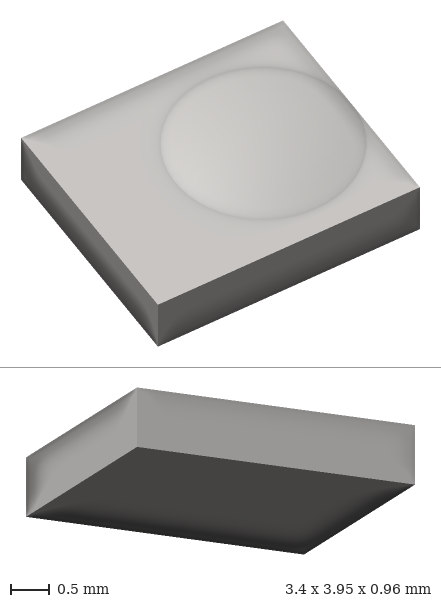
import cadquery as cq

width = 3.4
length = 3.95
total_height = 0.96
block_height = 0.8
dome_radius = 1.327

dome_height = total_height - block_height
dome_center_y = length / 2 - dome_radius
sphere_radius = (dome_radius**2 + dome_height**2) / (2 * dome_height)


def make_block():
    """Rectangular base standing on Z = 0, centred in X and Y."""
    return cq.Workplane("XY").box(width, length, block_height, centered=(True, True, False))


def make_dome():
    """Shallow spherical cap on the top face of the block."""
    sphere_center = (0, dome_center_y, total_height - sphere_radius)
    sphere = cq.Workplane("XY").sphere(sphere_radius).translate(sphere_center)
    cap_zone = (
        cq.Workplane("XY", origin=(0, dome_center_y, block_height))
        .rect(2 * sphere_radius, 2 * sphere_radius)
        .extrude(2 * dome_height)
    )
    return sphere.intersect(cap_zone)


result = make_block().union(make_dome())